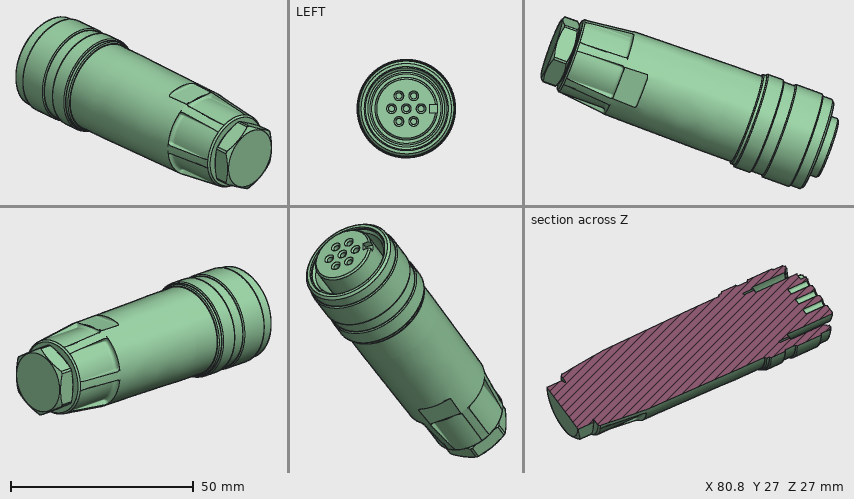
import cadquery as cq
import math

TOTAL_LENGTH = 80.8

INSERT_DIA = 17.1
INSERT_CHAMFER = 0.5
KEYWAY_WIDTH = 2.3
KEYWAY_LENGTH = 1.6
KEYWAY_FLOOR = 6.4

CONTACT_DIA = 1.7
CONTACT_MOUTH_DIA = 2.7
CONTACT_DEPTH = 6.5
CONTACT_RING_RADIUS = 4.0
CONTACT_RING_COUNT = 6

SLEEVE_START = 3.0
SLEEVE_END = 24.0
SLEEVE_DIA = 26.0
SLEEVE_FRONT_CHAMFER = 0.65
SLEEVE_REAR_CHAMFER = 0.3
BAND_DIA = 27.0
BAND_CHAMFER = 0.3
BANDS = [(6.5, 14.6), (17.85, 22.9)]

MOUTH_DIA = 23.0
MOUTH_DEPTH = 0.65
LEAD_IN_DIA = 22.4
SOCKET_DIA = 21.0
SOCKET_END = 14.55
GROOVE_OUTER_DIA = 19.9
GROOVE_INNER_DIA = 19.0
GROOVE_DEPTH = 3.2

BODY_DIA = 24.9
TAPER_START = 32.0
TAPER_END = 61.15
TAPER_END_DIA = 24.1
FLAT_START = 54.3
FLAT_HEIGHT = 11.1
FLAT_FILLET = 0.5

GRIP_DIA = 21.0
GRIP_END = 75.4
GRIP_CHAMFER = 0.5
RIB_COUNT = 6
RIB_WIDTH = 2.4
RIB_FILLET = 0.25
GRIP_SHOULDER_FILLET = 0.9

NECK_DIA = 15.2
NUT_START = 75.7
NUT_FLATS = 17.1
NUT_CORNER_DIA = 19.4
NUT_FACE_DIA = 16.65
NUT_CHAMFER = 0.7


def turned(profile):
    """Revolve (x, diameter) points, closed along the axis, about the X axis."""
    points = [(x, dia / 2) for x, dia in profile]
    points = [(points[0][0], 0)] + points + [(points[-1][0], 0)]
    return cq.Workplane("XY").polyline(points).close().revolve(360, (0, 0, 0), (1, 0, 0))


def cylinder(start, end, dia):
    return turned([(start, dia), (end, dia)])


def chamfered(start, end, dia, front, rear):
    """Cylinder along X with 45 degree chamfers at its two ends."""
    return turned([
        (start, dia - 2 * front),
        (start + front, dia),
        (end - rear, dia),
        (end, dia - 2 * rear),
    ])


def make_sleeve():
    sleeve = chamfered(SLEEVE_START, SLEEVE_END, SLEEVE_DIA, SLEEVE_FRONT_CHAMFER, SLEEVE_REAR_CHAMFER)
    for start, end in BANDS:
        sleeve = sleeve.union(chamfered(start, end, BAND_DIA, BAND_CHAMFER, BAND_CHAMFER))
    return sleeve.cut(make_socket())


def make_socket():
    mouth_end = SLEEVE_START + MOUTH_DEPTH
    lead_in_end = mouth_end + (LEAD_IN_DIA - SOCKET_DIA) / 2
    profile = [
        (SLEEVE_START, MOUTH_DIA),
        (mouth_end, MOUTH_DIA),
        (mouth_end, LEAD_IN_DIA),
        (lead_in_end, SOCKET_DIA),
        (SOCKET_END, SOCKET_DIA),
    ]
    groove_end = SOCKET_END + GROOVE_DEPTH
    groove = cylinder(SOCKET_END, groove_end, GROOVE_OUTER_DIA)
    groove = groove.cut(cylinder(SOCKET_END, groove_end, GROOVE_INNER_DIA))
    return turned(profile).union(groove)


def make_insert():
    insert = turned([
        (0, INSERT_DIA - 2 * INSERT_CHAMFER),
        (INSERT_CHAMFER, INSERT_DIA),
        (SLEEVE_END, INSERT_DIA),
    ])
    keyway_depth = INSERT_DIA / 2 - KEYWAY_FLOOR
    keyway = (
        cq.Workplane("XY")
        .box(KEYWAY_LENGTH, keyway_depth, KEYWAY_WIDTH, centered=(False, False, True))
        .translate((0, -INSERT_DIA / 2, 0))
    )
    insert = insert.cut(keyway)

    countersink = (CONTACT_MOUTH_DIA - CONTACT_DIA) / 2
    hole = turned([(0, CONTACT_MOUTH_DIA), (countersink, CONTACT_DIA), (CONTACT_DEPTH, CONTACT_DIA)])
    insert = insert.cut(hole)
    for i in range(CONTACT_RING_COUNT):
        angle = i * 360 / CONTACT_RING_COUNT
        insert = insert.cut(hole.translate((0, CONTACT_RING_RADIUS, 0)).rotate((0, 0, 0), (1, 0, 0), angle))
    return insert


def make_body():
    body = turned([
        (SLEEVE_END - SLEEVE_REAR_CHAMFER, BODY_DIA),
        (TAPER_START, BODY_DIA),
        (TAPER_END, TAPER_END_DIA),
    ])
    flat_cutter = (
        cq.Workplane("XY")
        .box(TAPER_END - FLAT_START, BODY_DIA, BODY_DIA / 2, centered=(False, True, False))
        .translate((FLAT_START, 0, FLAT_HEIGHT))
        .faces("<Z").edges("<X").fillet(FLAT_FILLET)
    )
    for angle in (0, 180):
        body = body.cut(flat_cutter.rotate((0, 0, 0), (1, 0, 0), angle))
    return body


def make_grip():
    """Tapered grip whose pockets leave six ribs that run out at the rear end."""
    grip = turned([
        (TAPER_END, TAPER_END_DIA),
        (GRIP_END - GRIP_CHAMFER, GRIP_DIA),
        (GRIP_END, GRIP_DIA - 2 * GRIP_CHAMFER),
    ])
    pocket = make_grip_pocket()
    for i in range(RIB_COUNT):
        grip = grip.cut(pocket.rotate((0, 0, 0), (1, 0, 0), i * 360 / RIB_COUNT))
    return grip


def make_grip_pocket():
    """Cutter between two ribs, centred on +Z, with the fillets of its floor."""
    half_step = math.pi / RIB_COUNT
    floor_radius = GRIP_DIA / 2
    floor_angle = half_step - math.asin(RIB_WIDTH / GRIP_DIA)
    floor_y = floor_radius * math.sin(floor_angle)
    floor_z = floor_radius * math.cos(floor_angle)
    wall = GRIP_DIA / 4
    top_y = floor_y + wall * math.sin(half_step)
    top_z = floor_z + wall * math.cos(half_step)
    pocket = (
        cq.Workplane("YZ", origin=(TAPER_END, 0, 0))
        .moveTo(-floor_y, floor_z)
        .threePointArc((0, floor_radius), (floor_y, floor_z))
        .lineTo(top_y, top_z)
        .lineTo(-top_y, top_z)
        .close()
        .extrude(GRIP_END - TAPER_END)
    )
    corner_box = cq.selectors.BoxSelector(
        (TAPER_END, -floor_y - RIB_FILLET, floor_z - RIB_FILLET),
        (GRIP_END, floor_y + RIB_FILLET, floor_z + RIB_FILLET),
    )
    pocket = pocket.edges("|X").edges(corner_box).fillet(RIB_FILLET)
    return pocket.faces("<X").edges("%CIRCLE").fillet(GRIP_SHOULDER_FILLET)


def make_nut():
    neck = cylinder(GRIP_END, NUT_START, NECK_DIA)
    hexagon = (
        cq.Workplane("YZ", origin=(NUT_START, 0, 0))
        .polygon(6, NUT_FLATS / math.cos(math.pi / 6))
        .extrude(TOTAL_LENGTH - NUT_START)
        .rotate((0, 0, 0), (1, 0, 0), 90)
    )
    envelope = turned([
        (NUT_START, NUT_FACE_DIA),
        (NUT_START + NUT_CHAMFER, NUT_CORNER_DIA),
        (TOTAL_LENGTH - NUT_CHAMFER, NUT_CORNER_DIA),
        (TOTAL_LENGTH, NUT_FACE_DIA),
    ])
    return neck.union(hexagon.intersect(envelope))


result = make_sleeve().union(make_insert()).union(make_body()).union(make_grip()).union(make_nut())